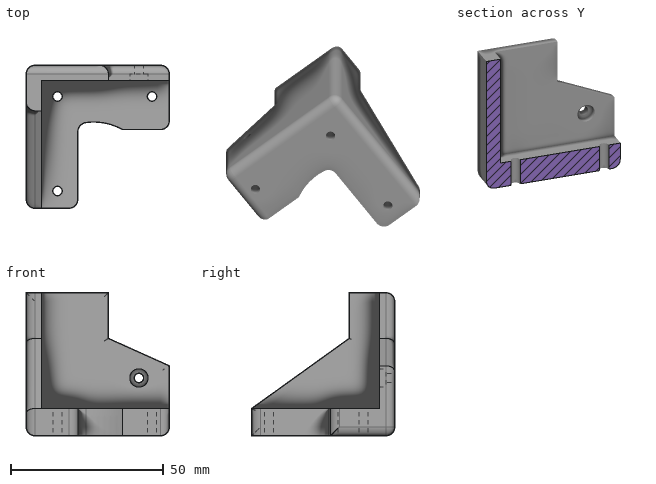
import math

import cadquery as cq

size = 47.0
wall = 5.0
base_thickness = 9.0
edge_radius = 3.0

back_top_width = 27.0
back_end_height = 23.0

side_top_depth = 15.0

shoulder_height = 32.0

side_arm_width = 17.0
back_arm_depth = 21.2

relief_radius = 19.0
relief_rise = 2.5
relief_end_x = 31.65

mount_hole_diameter = 3.0
mount_hole_inset = 10.3
mount_hole_spacing = 31.0

screw_x = 37.0
screw_z = 19.0
screw_diameter = 3.0
counterbore_diameter = 6.0
counterbore_depth = 2.0

relief_center_drop = relief_radius - relief_rise
relief_center_x = relief_end_x - math.sqrt(relief_radius**2 - relief_center_drop**2)
relief_center_y = -back_arm_depth - relief_center_drop


def make_base():
    """L-shaped plate with the relief in its inner corner and a rounded inside edge."""
    arms = (
        cq.Workplane("XY")
        .polyline(
            [
                (0, 0),
                (size, 0),
                (size, -back_arm_depth),
                (side_arm_width, -back_arm_depth),
                (side_arm_width, -size),
                (0, -size),
            ]
        )
        .close()
        .extrude(base_thickness)
    )
    relief = (
        cq.Workplane("XY")
        .center(relief_center_x, relief_center_y)
        .circle(relief_radius)
        .extrude(base_thickness)
    )
    side_arm = cq.Workplane("XY").box(side_arm_width, size, base_thickness, centered=False)
    relief = relief.cut(side_arm.translate((0, -size, 0)))
    base = arms.cut(relief)

    relief_corner_y = relief_center_y + math.sqrt(
        relief_radius**2 - (relief_center_x - side_arm_width) ** 2
    )
    inside_corner = cq.selectors.NearestToPointSelector(
        (side_arm_width, relief_corner_y, base_thickness / 2)
    )
    return base.edges(inside_corner).fillet(edge_radius)


def make_back_wall():
    """Wall along X: a full-height column, then a slope down to the far end."""
    return (
        cq.Workplane("XZ")
        .polyline(
            [
                (0, 0),
                (size, 0),
                (size, back_end_height),
                (back_top_width, shoulder_height),
                (back_top_width, size),
                (0, size),
            ]
        )
        .close()
        .extrude(wall)
    )


def make_side_wall():
    """Wall along Y: a full-height column, then a slope down to the base."""
    return (
        cq.Workplane("YZ")
        .polyline(
            [
                (0, 0),
                (-size, 0),
                (-size, base_thickness),
                (-side_top_depth, shoulder_height),
                (-side_top_depth, size),
                (0, size),
            ]
        )
        .close()
        .extrude(wall)
    )


def round_outer_edges(body):
    """Round the rim of the back face, the side face and the free end of the base."""
    back_rim = body.faces(">Y").edges()
    side_rim = body.faces("<X").edges("not >Z")
    end_rim = body.faces(">X").edges("<Z or (|Z and <Y)")
    arm_tip = body.edges(
        cq.selectors.NearestToPointSelector((side_arm_width, -size, base_thickness / 2))
    )
    return back_rim.add(side_rim).add(end_rim).add(arm_tip).fillet(edge_radius)


def drill_mount_holes(body):
    """Three plain holes through the base, one at the corner and one along each arm."""
    far = mount_hole_inset + mount_hole_spacing
    centers = [
        (mount_hole_inset, -mount_hole_inset),
        (far, -mount_hole_inset),
        (mount_hole_inset, -far),
    ]
    drills = (
        cq.Workplane("XY")
        .pushPoints(centers)
        .circle(mount_hole_diameter / 2)
        .extrude(base_thickness)
    )
    return body.cut(drills)


def drill_screw_hole(body):
    """Hole through the back wall, counterbored from its inner face."""
    hole = (
        cq.Workplane("XZ")
        .center(screw_x, screw_z)
        .circle(screw_diameter / 2)
        .extrude(wall)
    )
    counterbore = (
        cq.Workplane("XZ", origin=(0, counterbore_depth - wall, 0))
        .center(screw_x, screw_z)
        .circle(counterbore_diameter / 2)
        .extrude(counterbore_depth)
    )
    return body.cut(hole).cut(counterbore)


bracket = make_base().union(make_back_wall()).union(make_side_wall()).clean()
bracket = round_outer_edges(bracket)
bracket = drill_mount_holes(bracket)
result = drill_screw_hole(bracket)